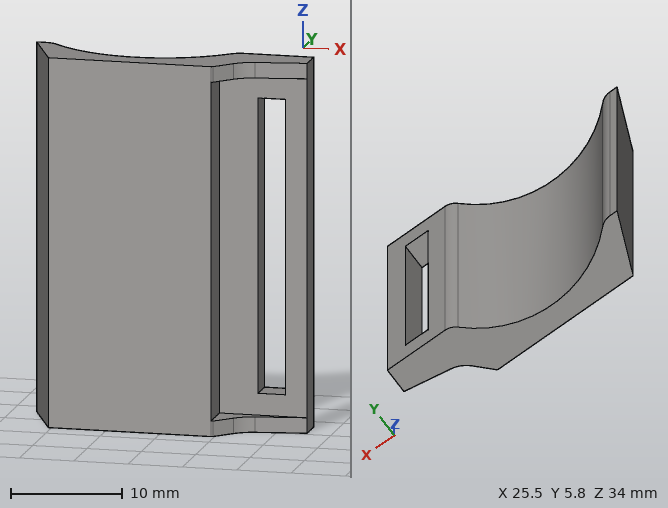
import cadquery as cq
import math

length = 25.5
depth = 5.8
height = 34.0

left_slant_run = 2.48
body_right = 17.55
body_corner_radius = 0.27

tip_thickness = 2.5
flange_root_x = 19.85
flange_root_thickness = 3.45
flange_root_radius = 3.13

body_corner_turn = math.atan2(depth - flange_root_thickness, flange_root_x - body_right)
recess_left = body_right - body_corner_radius * math.tan(body_corner_turn / 2)

hollow_x = 9.95
hollow_depth = 3.75
hollow_radius = 11.45
hollow_edge_radius = 1.63

rib_height = 1.43
slot_left = 20.98
slot_width = 2.5
slot_end_margin = 3.45


def vertical_edge(solid, x, y):
    """Select the vertical edge nearest to a point of the profile."""
    return solid.edges("|Z").edges(cq.selectors.NearestToPointSelector((x, y, height / 2)))


def make_body():
    """Extrude the profile, cut the hollow and round the profile corners."""
    body = (
        cq.Workplane("XY")
        .moveTo(0, 0)
        .lineTo(left_slant_run, -depth)
        .lineTo(body_right, -depth)
        .lineTo(flange_root_x, -flange_root_thickness)
        .lineTo(length, -tip_thickness)
        .lineTo(length, 0)
        .close()
        .extrude(height)
    )
    hollow_center_y = hollow_radius - hollow_depth
    hollow = (
        cq.Workplane("XY")
        .center(hollow_x, hollow_center_y)
        .circle(hollow_radius)
        .extrude(height)
    )
    body = body.cut(hollow)

    half_opening = math.sqrt(hollow_radius**2 - hollow_center_y**2)
    for side in (-1, 1):
        edge_x = hollow_x + side * half_opening
        body = vertical_edge(body, edge_x, 0).fillet(hollow_edge_radius)
    body = vertical_edge(body, flange_root_x, -flange_root_thickness).fillet(flange_root_radius)
    return vertical_edge(body, body_right, -depth).fillet(body_corner_radius)


def make_recess():
    """Space between the end ribs, with a flat floor at the tip thickness."""
    return cq.Workplane("XY").box(
        length - recess_left,
        depth - tip_thickness,
        height - 2 * rib_height,
        centered=False,
    ).translate((recess_left, -depth, rib_height))


def make_slot():
    """Rectangular slot through the flange."""
    return cq.Workplane("XY").box(
        slot_width,
        depth,
        height - 2 * slot_end_margin,
        centered=False,
    ).translate((slot_left, -depth, slot_end_margin))


result = make_body().cut(make_recess()).cut(make_slot())